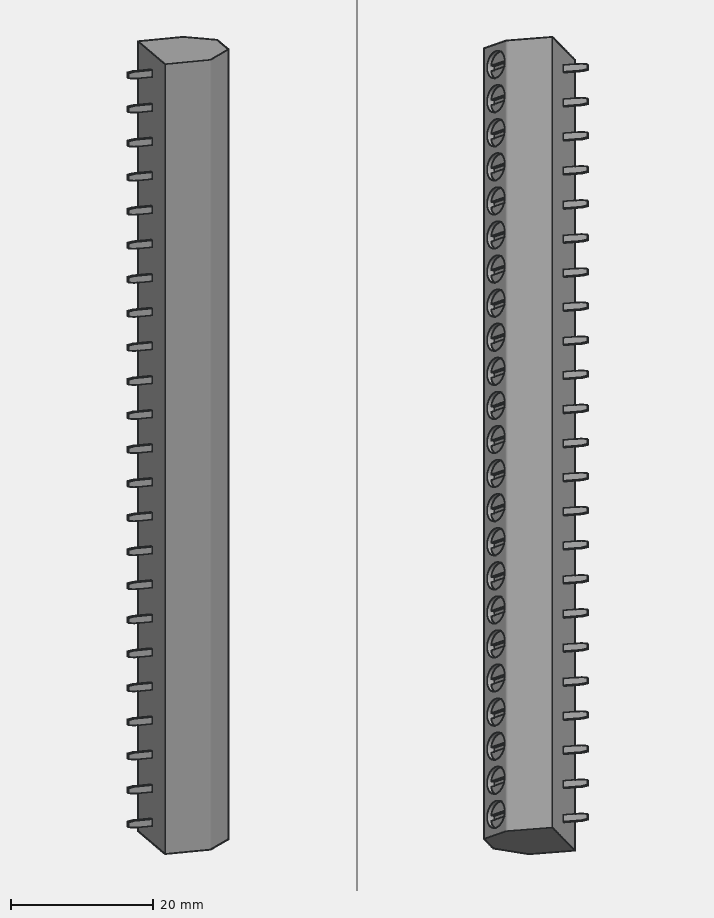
import cadquery as cq

length = 116.0
width = 12.0
depth = 10.8
bevel_height = 4.1
screw_bevel_width = 2.9
plain_bevel_width = 4.1
shoulder_radius = 0.7

pole_count = 23
pitch = 5.0

pin_length = 3.5
pin_thickness = 0.5
pin_height = 1.0
pin_tip_length = 0.8
pin_tip_taper = 0.14
pin_root = 1.2

recess_diameter = 4.0
recess_depth = 0.7
recess_offset = 2.3
slot_width = 0.8
slot_depth = 0.6

half_width = width / 2
shoulder_y = depth - bevel_height
first_pole_z = -pitch * (pole_count - 1) / 2
pole_heights = [first_pole_z + pitch * i for i in range(pole_count)]


def make_housing():
    """Prism with two unequal bevels along its +Y side and rounded shoulders."""
    outline = [
        (-half_width, 0),
        (half_width, 0),
        (half_width, shoulder_y),
        (half_width - plain_bevel_width, depth),
        (-half_width + screw_bevel_width, depth),
        (-half_width, shoulder_y),
    ]
    prism = cq.Workplane("XY").polyline(outline).close().extrude(length / 2, both=True)
    screw_shoulder = cq.selectors.NearestToPointSelector((-half_width, shoulder_y, 0))
    plain_shoulder = cq.selectors.NearestToPointSelector((half_width, shoulder_y, 0))
    return prism.edges("|Z").edges(screw_shoulder + plain_shoulder).fillet(shoulder_radius)


def make_pin(z):
    """Flat pin running toward -Y, its height tapering at the tip."""
    taper_start = pin_tip_length - pin_length
    half_height = pin_height / 2
    half_tip = half_height - pin_tip_taper
    side = [
        (pin_root, -half_height),
        (taper_start, -half_height),
        (-pin_length, -half_tip),
        (-pin_length, half_tip),
        (taper_start, half_height),
        (pin_root, half_height),
    ]
    pin = cq.Workplane("YZ").polyline(side).close().extrude(pin_thickness / 2, both=True)
    return pin.translate((0, 0, z))


def make_screw_recess(z):
    """Cutter for a round recess with a screwdriver slot across its floor."""
    shoulder = cq.Vector(-half_width, shoulder_y, z)
    along_bevel = cq.Vector(screw_bevel_width, bevel_height, 0).normalized()
    outward = cq.Vector(-bevel_height, screw_bevel_width, 0)
    plane = cq.Plane(shoulder + along_bevel * recess_offset, along_bevel, outward)

    slot_floor = recess_depth + slot_depth
    recess = cq.Workplane(plane).circle(recess_diameter / 2).extrude(-recess_depth)
    slot = cq.Workplane(plane).rect(recess_diameter, slot_width).extrude(-slot_floor)
    slot_limit = cq.Workplane(plane).circle(recess_diameter / 2).extrude(-slot_floor)
    return recess.union(slot.intersect(slot_limit))


result = make_housing()
for pole_z in pole_heights:
    result = result.union(make_pin(pole_z))
    result = result.cut(make_screw_recess(pole_z))